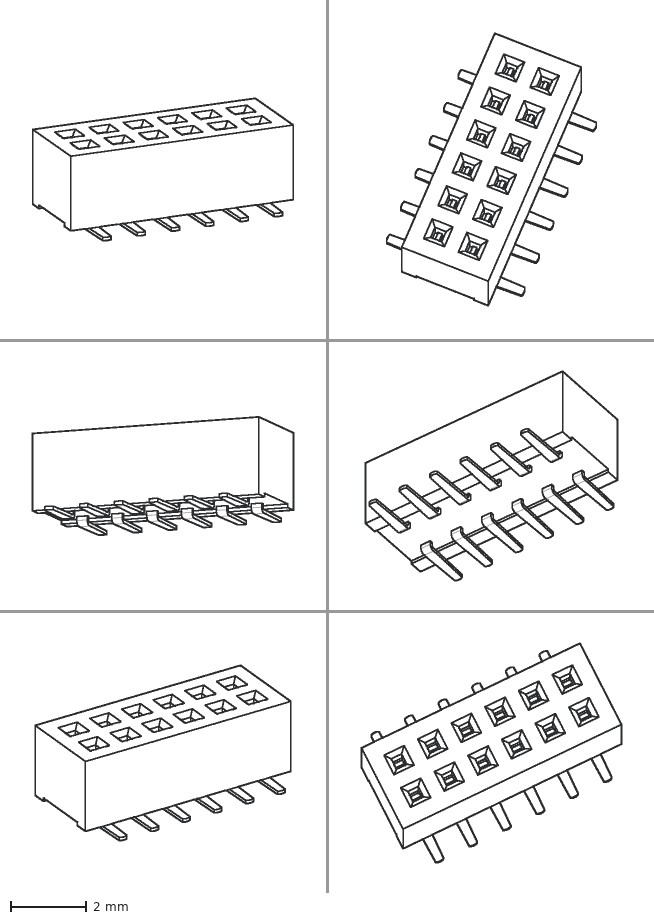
import cadquery as cq

rows = 6
pitch = 1.0

body_width = 2.495
body_length = 6.5
overall_height = 2.25
body_height = 2.1
foot_width = 0.415
foot_height = 0.1

mouth_size = 0.6
throat_x = 0.32
throat_y = 0.305
funnel_depth = 0.15
socket_depth = 0.6
tip_x = 0.12
tip_y = 0.26
tip_drop = 0.4

lead_span = 3.95
lead_width = 0.305
lead_end_width = 0.24
lead_thickness = 0.1
end_bulge = 0.03
taper_start = 0.78
bend_inner_radius = 0.045

body_bottom = overall_height - body_height
slot_top = body_bottom + foot_height
column_x = pitch / 2
row_positions = [(i - (rows - 1) / 2) * pitch for i in range(rows)]


def make_housing():
    """Block with a foot along each long side."""
    block = (
        cq.Workplane("XY", origin=(0, 0, body_bottom))
        .box(body_width, body_length, body_height, centered=(True, True, False))
    )
    slot = (
        cq.Workplane("XY", origin=(0, 0, body_bottom))
        .box(body_width - 2 * foot_width, body_length, foot_height, centered=(True, True, False))
    )
    return block.cut(slot)


def make_socket(y):
    """Funnel mouth and straight throat, with a contact tip standing on the floor."""
    funnel = (
        cq.Workplane("XY", origin=(column_x, y, overall_height))
        .rect(mouth_size, mouth_size)
        .workplane(offset=-funnel_depth)
        .rect(throat_x, throat_y)
        .loft(ruled=True)
    )
    floor = overall_height - socket_depth
    throat = (
        cq.Workplane("XY", origin=(column_x, y, floor))
        .box(throat_x, throat_y, socket_depth - funnel_depth, centered=(True, True, False))
    )
    tip = (
        cq.Workplane("XY", origin=(column_x, y, floor))
        .box(tip_x, tip_y, socket_depth - tip_drop, centered=(True, True, False))
    )
    return funnel.union(throat).cut(tip)


def make_terminal(y):
    """Post below the housing that bends outward into a tapered flat lead."""
    inner_x = column_x - lead_thickness / 2
    outer_x = inner_x + lead_thickness
    bend_outer_radius = bend_inner_radius + lead_thickness
    bend_end_x = inner_x + bend_outer_radius
    end_x = lead_span / 2
    profile = (
        cq.Workplane("XZ", origin=(0, y + lead_width / 2, 0))
        .moveTo(inner_x, slot_top)
        .lineTo(inner_x, bend_outer_radius)
        .radiusArc((bend_end_x, 0), -bend_outer_radius)
        .lineTo(end_x, 0)
        .lineTo(end_x, lead_thickness)
        .lineTo(bend_end_x, lead_thickness)
        .radiusArc((outer_x, bend_outer_radius), bend_inner_radius)
        .lineTo(outer_x, slot_top)
        .close()
        .extrude(lead_width)
    )
    outline = (
        cq.Workplane("XY", origin=(0, y, 0))
        .moveTo(inner_x, -lead_width / 2)
        .lineTo(taper_start, -lead_width / 2)
        .lineTo(end_x - end_bulge, -lead_end_width / 2)
        .threePointArc((end_x, 0), (end_x - end_bulge, lead_end_width / 2))
        .lineTo(taper_start, lead_width / 2)
        .lineTo(inner_x, lead_width / 2)
        .close()
        .extrude(slot_top)
    )
    return profile.intersect(outline)


result = make_housing()
for row_y in row_positions:
    socket = make_socket(row_y)
    terminal = make_terminal(row_y)
    result = result.cut(socket).cut(socket.mirror("YZ"))
    result = result.union(terminal).union(terminal.mirror("YZ"))